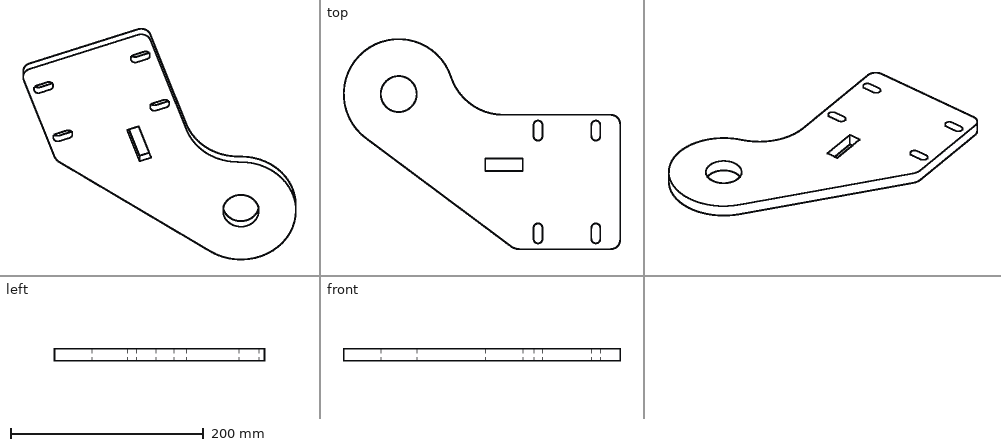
import cadquery as cq
import math

thickness = 12.7
head_radius = 57.15
bore_diameter = 37.1

pad_right = 230.0
pad_depth = 139.7
pad_bottom = -161.14
pad_top = pad_bottom + pad_depth
pad_bottom_left = 120.5
pad_corner_radius = 10.16
obtuse_corner_radius = 15.0
neck_radius = 57.15

slot_width = 9.0
slot_length = 20.5
slot_spacing_x = 60.0
slot_edge_x = 25.4
slot_edge_y = 16.5

window_length = 38.7
window_width = 12.7
window_x = 109.3
window_y = -73.3


def polar(radius, angle):
    return (radius * math.cos(angle), radius * math.sin(angle))


def plate_body():
    neck_y = pad_top + neck_radius
    neck_x = math.sqrt((head_radius + neck_radius) ** 2 - neck_y ** 2)
    neck_angle = math.atan2(neck_y, neck_x)
    head_neck_point = polar(head_radius, neck_angle)
    arc_start_angle = neck_angle - math.pi
    arc_mid_angle = (arc_start_angle - math.pi / 2) / 2
    mid_dx, mid_dy = polar(neck_radius, arc_mid_angle)
    neck_mid_point = (neck_x + mid_dx, neck_y + mid_dy)

    corner_distance = math.hypot(pad_bottom_left, pad_bottom)
    corner_angle = math.atan2(pad_bottom, pad_bottom_left)
    slope_angle = corner_angle - math.acos(head_radius / corner_distance)
    head_slope_point = polar(head_radius, slope_angle)

    head_mid_angle = (neck_angle + slope_angle + 2 * math.pi) / 2

    body = (
        cq.Workplane("XY")
        .moveTo(*head_neck_point)
        .threePointArc(polar(head_radius, head_mid_angle), head_slope_point)
        .lineTo(pad_bottom_left, pad_bottom)
        .lineTo(pad_right, pad_bottom)
        .lineTo(pad_right, pad_top)
        .lineTo(neck_x, pad_top)
        .threePointArc(neck_mid_point, head_neck_point)
        .close()
        .extrude(thickness)
    )
    obtuse_corner = cq.selectors.NearestToPointSelector((pad_bottom_left, pad_bottom, thickness / 2))
    body = body.edges("|Z and >X").fillet(pad_corner_radius)
    return body.edges("|Z").edges(obtuse_corner).fillet(obtuse_corner_radius)


def bore():
    return cq.Workplane("XY").circle(bore_diameter / 2).extrude(thickness)


def slots():
    right_x = pad_right - slot_edge_x
    centres = [
        (x, y)
        for x in (right_x - slot_spacing_x, right_x)
        for y in (pad_bottom + slot_edge_y, pad_top - slot_edge_y)
    ]
    return cq.Workplane("XY").pushPoints(centres).slot2D(slot_length, slot_width, 90).extrude(thickness)


def window():
    return (
        cq.Workplane("XY")
        .center(window_x, window_y)
        .rect(window_length, window_width)
        .extrude(thickness)
    )


result = plate_body().cut(bore()).cut(slots()).cut(window())